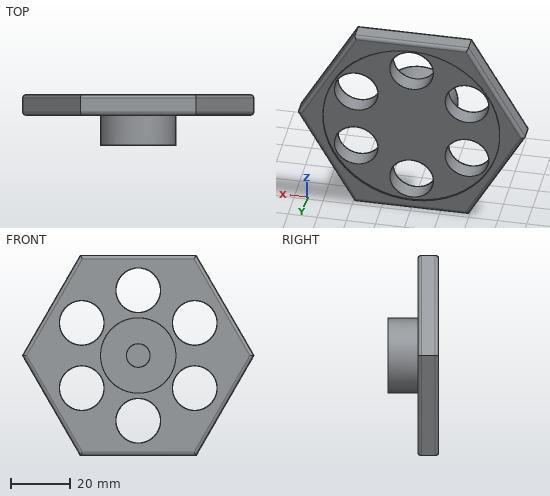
import cadquery as cq

corner_to_corner = 77.95
total_depth = 17.15
plate_thickness = 7.0
rim_fillet = 1.2

hole_count = 6
hole_diameter = 15.0
hole_ring_radius = 22.0
first_hole_angle = 90.0

recess_depth = 0.6
recess_margin = 0.9
recess_radius = hole_ring_radius + hole_diameter / 2 + recess_margin

boss_diameter = 25.4
boss_height = total_depth - plate_thickness
bore_diameter = 7.95
bore_depth = boss_height


def make_plate():
    """Hexagon from Y = 0 to Y = plate_thickness, rounded along both rims."""
    plate = (
        cq.Workplane("XZ")
        .polygon(6, corner_to_corner)
        .extrude(-plate_thickness)
    )
    return plate.faces("<Y or >Y").edges().fillet(rim_fillet)


def make_holes():
    """Cutters for the ring of holes through the plate."""
    return (
        cq.Workplane("XZ")
        .polarArray(hole_ring_radius, first_hole_angle, 360, hole_count)
        .circle(hole_diameter / 2)
        .extrude(-plate_thickness)
    )


def make_recess():
    """Cutter for the recess, sunk from the +Y face into the plate."""
    return (
        cq.Workplane("XZ", origin=(0, plate_thickness, 0))
        .circle(recess_radius)
        .extrude(recess_depth)
    )


def make_boss():
    """Cylinder standing on the -Y face of the plate."""
    return cq.Workplane("XZ").circle(boss_diameter / 2).extrude(boss_height)


def make_bore():
    """Cutter for the blind bore, starting at the free end of the boss."""
    return (
        cq.Workplane("XZ", origin=(0, -boss_height, 0))
        .circle(bore_diameter / 2)
        .extrude(-bore_depth)
    )


plate = make_plate().cut(make_holes()).cut(make_recess())
result = plate.union(make_boss()).cut(make_bore())